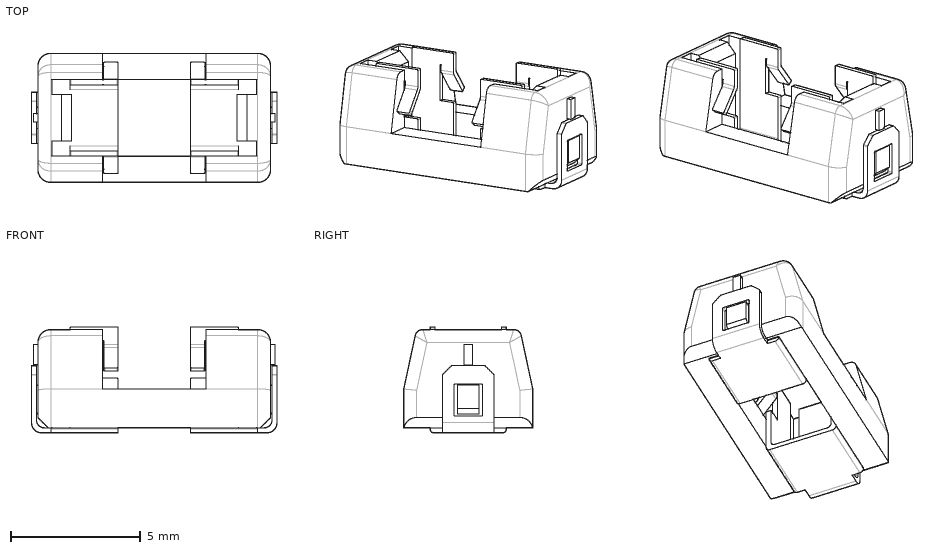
import cadquery as cq
import math

overall_length = 9.5
sheet = 0.2
cavity_width = 2.95
pad_inner_x = 1.4

housing_length = 9.01
housing_width = 5.0
housing_height = 3.8
rim_width = 4.01
knee_z = 1.5
end_round = 0.5
side_round = 0.3
foot_chamfer = 0.4
end_wall = 0.54
notch_length = 4.0
stop_width = 1.805
stop_reach = 0.77
stop_chamfer = 0.39
rib_width = 0.32
rib_depth = 0.17
rib_bottom = 2.43
rib_top = 3.23
catch_width = 0.84
catch_depth = 0.22
catch_bottom = 0.54
catch_top = 1.65
catch_chamfer = 0.21

tail_width = 1.995
tail_top = 2.4
tail_chamfer = 0.35
tail_bend_outer = 0.4
tail_bend_inner = 0.3
window_width = 1.12
window_bottom = 0.46
window_top = 1.69
pad_outer_x = 4.0
pad_edge_round = 0.15
arm_outer_x = 3.26
arm_top = 3.9
arm_root_round = 0.19
corner_round = 0.05
gap_outer_x = 2.0
gap_bottom = 1.93
slit_top = 3.36
slit_width = 0.05
fold_z = 3.22
fold_angle = math.radians(39)
fold_radius = sheet
tab_length = 1.01

half_length = housing_length / 2
half_cavity = cavity_width / 2
cavity_end = half_length - end_wall


def box_between(x_range, y_range, z_range):
    """Box from its lower and upper limits along each axis."""
    sizes = [high - low for low, high in (x_range, y_range, z_range)]
    return cq.Workplane("XY").box(*sizes, centered=False).translate((x_range[0], y_range[0], z_range[0]))


def other_end(shape):
    """Copy of a left-end shape at the right end."""
    return shape.mirror("YZ")


def housing_block():
    """Solid with a sloping-sided section, rounded ends and rounded top edges."""
    half_width = housing_width / 2
    half_rim = rim_width / 2
    block = (
        cq.Workplane("YZ")
        .polyline([
            (-half_width, 0), (half_width, 0), (half_width, knee_z),
            (half_rim, housing_height), (-half_rim, housing_height), (-half_width, knee_z),
        ])
        .close()
        .extrude(half_length, both=True)
    )
    block = block.faces("<X or >X").edges("not <Z").fillet(end_round)
    block = block.faces(">Z").edges("|X").fillet(side_round)
    return block


def foot_cut():
    """Wedge that bevels the lower edge of the left end."""
    return (
        cq.Workplane("XZ")
        .polyline([(-half_length, 0), (-half_length + foot_chamfer, 0), (-half_length, foot_chamfer)])
        .close()
        .extrude(housing_width / 2, both=True)
    )


def stop_block():
    """Full-height block inside the left end wall, bevelled at its upper inner edge."""
    stop = box_between(
        (-cavity_end, -cavity_end + stop_reach), (-stop_width / 2, stop_width / 2), (0, housing_height)
    )
    return stop.edges(">X and >Z").chamfer(stop_chamfer)


def outside_rib():
    """Upright rib on the left end face, just above the clip tail."""
    return box_between(
        (-half_length - rib_depth, -half_length), (-rib_width / 2, rib_width / 2), (rib_bottom, rib_top)
    )


def catch():
    """Catch on the left end face that stands in the window of the clip tail."""
    bump = box_between(
        (-half_length - catch_depth, -half_length), (-catch_width / 2, catch_width / 2), (catch_bottom, catch_top)
    )
    return bump.edges("<X and <Z").chamfer(catch_chamfer)


def make_housing():
    cavity = box_between((-cavity_end, cavity_end), (-half_cavity, half_cavity), (0, housing_height))
    notch = box_between(
        (-notch_length / 2, notch_length / 2),
        (-housing_width / 2, housing_width / 2),
        (knee_z, housing_height),
    )
    body = housing_block().cut(foot_cut()).cut(other_end(foot_cut())).cut(cavity).cut(notch)
    for feature in (stop_block(), outside_rib(), catch()):
        body = body.union(feature).union(other_end(feature))
    return body


def clip_tail():
    """Strip that runs outward under the end wall and turns up outside it."""
    outer_x = -overall_length / 2
    side_profile = (
        cq.Workplane("XZ")
        .moveTo(-pad_outer_x, -sheet)
        .lineTo(outer_x + tail_bend_outer, -sheet)
        .radiusArc((outer_x, -sheet + tail_bend_outer), tail_bend_outer)
        .lineTo(outer_x, tail_top)
        .lineTo(outer_x + sheet, tail_top)
        .lineTo(outer_x + sheet, tail_bend_inner)
        .radiusArc((outer_x + sheet + tail_bend_inner, 0), -tail_bend_inner)
        .lineTo(-pad_outer_x, 0)
        .close()
    )
    tail = side_profile.extrude(tail_width / 2, both=True)
    tail = tail.faces(">Z").edges("|X").chamfer(tail_chamfer)
    for corner_y, corner_z in (
        (tail_width / 2, tail_top - tail_chamfer),
        (tail_width / 2 - tail_chamfer, tail_top),
    ):
        for side in (-1, 1):
            bevel_corner = cq.selectors.NearestToPointSelector((outer_x + sheet / 2, side * corner_y, corner_z))
            tail = tail.edges(bevel_corner).fillet(corner_round)
    window = box_between(
        (outer_x, outer_x + sheet), (-window_width / 2, window_width / 2), (window_bottom, window_top)
    )
    return tail.cut(window.edges("|X").fillet(corner_round))


def clip_pad():
    """Flat floor of the clip, with its two long lower edges rounded."""
    pad = box_between((-pad_outer_x, -pad_inner_x), (-half_cavity, half_cavity), (-sheet, 0))
    return pad.faces("<Z").edges("|X").fillet(pad_edge_round)


def arm_blank():
    """Outline of the +Y arm, with the opening for its tab and the slit beside the tab."""
    slit_inner_x = gap_outer_x - slit_width
    return (
        cq.Workplane("XZ", origin=(0, half_cavity, 0))
        .polyline([
            (-arm_outer_x, 0), (-pad_inner_x, 0), (-pad_inner_x, gap_bottom), (-gap_outer_x, gap_bottom),
            (-gap_outer_x, slit_top), (-slit_inner_x, slit_top), (-slit_inner_x, fold_z),
            (-pad_inner_x, fold_z), (-pad_inner_x, arm_top), (-arm_outer_x, arm_top),
        ])
        .close()
        .extrude(sheet)
        .edges("|Y and >Z")
        .fillet(corner_round)
        .edges(cq.selectors.NearestToPointSelector((-pad_inner_x, half_cavity - sheet / 2, gap_bottom)))
        .fillet(corner_round)
    )


def arm_root():
    """Concave round where the +Y arm meets the floor."""
    root_y = half_cavity - sheet
    return (
        cq.Workplane("YZ", origin=(-arm_outer_x, 0, 0))
        .moveTo(root_y, 0)
        .lineTo(root_y, arm_root_round)
        .radiusArc((root_y - arm_root_round, 0), arm_root_round)
        .close()
        .extrude(arm_outer_x - pad_inner_x)
    )


def arm_tab():
    """Tab that folds down and outward from the +Y arm."""
    outer_x = -gap_outer_x + slit_width
    middle_x = (outer_x - pad_inner_x) / 2
    half_turn = math.tan(fold_angle / 2)
    drop = (math.sin(fold_angle), -math.cos(fold_angle))
    inward = (-math.cos(fold_angle), -math.sin(fold_angle))

    outer_fold = (half_cavity, fold_z - fold_radius * half_turn)
    inner_fold = (half_cavity - sheet, outer_fold[1] - sheet * half_turn)
    run = tab_length + fold_radius * half_turn
    outer_tip = (outer_fold[0] + run * drop[0], outer_fold[1] + run * drop[1])
    inner_tip = (outer_tip[0] + sheet * inward[0], outer_tip[1] + sheet * inward[1])

    tab = (
        cq.Workplane("YZ", origin=(outer_x, 0, 0))
        .polyline([
            (half_cavity, slit_top), outer_fold, outer_tip,
            inner_tip, inner_fold, (half_cavity - sheet, slit_top),
        ])
        .close()
        .extrude(-pad_inner_x - outer_x)
    )
    for fold in (outer_fold, inner_fold):
        fold_edge = cq.selectors.NearestToPointSelector((middle_x, *fold))
        tab = tab.edges(fold_edge).fillet(fold_radius)
    tip_y = (outer_tip[0] + inner_tip[0]) / 2
    tip_z = (outer_tip[1] + inner_tip[1]) / 2
    for side_x in (outer_x, -pad_inner_x):
        tip_corner = cq.selectors.NearestToPointSelector((side_x, tip_y, tip_z))
        tab = tab.edges(tip_corner).fillet(corner_round)
    return tab


def make_clip():
    arm = arm_blank().union(arm_tab()).union(arm_root())
    return clip_pad().union(clip_tail()).union(arm).union(arm.mirror("XZ"))


housing = make_housing()
left_clip = make_clip()
clips = [left_clip, other_end(left_clip)]

result = cq.Compound.makeCompound([housing.val(), *[clip.val() for clip in clips]])